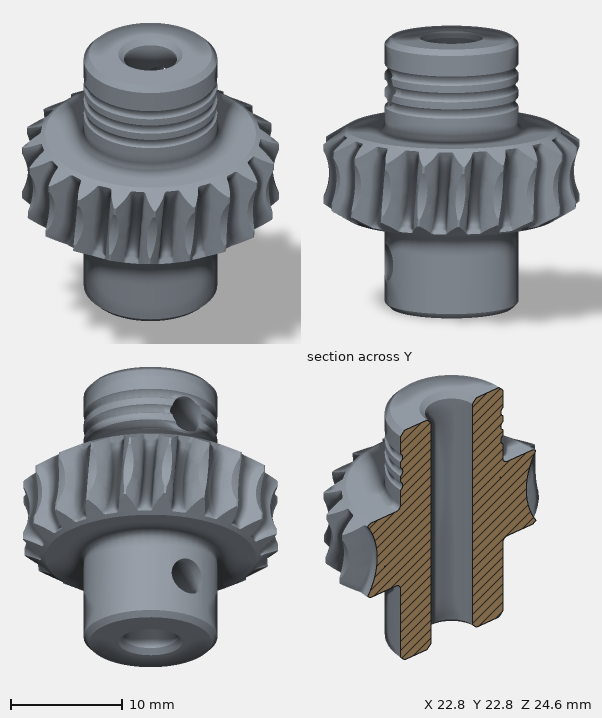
import cadquery as cq
import math

total_height = 24.6
mid_height = total_height / 2
hub_radius = 6.0
hub_chamfer = 0.5
hub_fillet = 0.5
bore_radius = 2.39
bore_chamfer = 0.5

groove_count = 3
groove_pitch = 1.5
middle_groove_height = 20.3
groove_round_radius = 0.5
groove_depth = 0.25
groove_half_width = math.sqrt(groove_round_radius**2 - (groove_round_radius - groove_depth) ** 2)

side_hole_radius = 1.67
side_hole_offset = 8.0

tooth_count = 20
pitch_radius = 9.99
addendum = 1.0
dedendum = 1.25
pressure_angle = math.radians(20)
lead_angle = math.radians(4.6)
tooth_thickening_angle = 0.008
base_radius = pitch_radius * math.cos(pressure_angle)
root_radius = pitch_radius - dedendum
throat_radius = pitch_radius + addendum
root_fillet = 0.25

wheel_width = 8.0
wheel_bottom = mid_height - wheel_width / 2
wheel_top = mid_height + wheel_width / 2
wheel_face_radius = 9.47
wheel_radius = 11.51
rim_half_width = 2.75
worm_axis_radius = 15.55
throat_round_radius = worm_axis_radius - throat_radius
floor_round_radius = worm_axis_radius - root_radius
throat_half_width = math.sqrt(throat_round_radius**2 - (worm_axis_radius - wheel_radius) ** 2)

cutter_overrun = 0.75
outer_overrun = 0.05
cutter_inner_radius = root_radius - cutter_overrun
cutter_outer_radius = wheel_radius + outer_overrun
cutter_height = wheel_width + 2 * cutter_overrun
flank_points = 4


def make_turned_body():
    """Hub, bore, grooves and toothless wheel, revolved from one half section."""
    bore_mouth_radius = bore_radius + bore_chamfer
    chamfer_radius = hub_radius - hub_chamfer
    fillet_radius = hub_radius + hub_fillet

    profile = (
        cq.Workplane("XZ")
        .moveTo(bore_radius, bore_chamfer)
        .lineTo(bore_mouth_radius, 0)
        .lineTo(chamfer_radius, 0)
        .lineTo(hub_radius, hub_chamfer)
        .lineTo(hub_radius, wheel_bottom - hub_fillet)
        .tangentArcPoint((fillet_radius, wheel_bottom), relative=False)
        .lineTo(wheel_face_radius, wheel_bottom)
        .lineTo(wheel_radius, mid_height - rim_half_width)
        .lineTo(wheel_radius, mid_height - throat_half_width)
        .threePointArc((throat_radius, mid_height), (wheel_radius, mid_height + throat_half_width))
        .lineTo(wheel_radius, mid_height + rim_half_width)
        .lineTo(wheel_face_radius, wheel_top)
        .lineTo(fillet_radius, wheel_top)
        .tangentArcPoint((hub_radius, wheel_top + hub_fillet), relative=False)
    )
    for index in range(groove_count):
        height = middle_groove_height + (index - (groove_count - 1) / 2) * groove_pitch
        profile = profile.lineTo(hub_radius, height - groove_half_width).threePointArc(
            (hub_radius - groove_depth, height), (hub_radius, height + groove_half_width)
        )
    profile = (
        profile.lineTo(hub_radius, total_height - hub_chamfer)
        .lineTo(chamfer_radius, total_height)
        .lineTo(bore_mouth_radius, total_height)
        .lineTo(bore_radius, total_height - bore_chamfer)
        .close()
    )
    return profile.revolve(360, (0, 0, 0), (0, 1, 0))


def involute(angle):
    return math.tan(angle) - angle


def flank_point(radius, side):
    """Point on one involute flank of the gap that is centred on +X."""
    roll = math.acos(base_radius / radius)
    gap_half_angle = math.pi / (2 * tooth_count) - tooth_thickening_angle
    angle = side * (gap_half_angle + involute(roll) - involute(pressure_angle))
    return radius * math.cos(angle), radius * math.sin(angle)


def make_gap_outline():
    """Cross-section of one gap: two involute flanks, running on inward below the base circle."""
    step = (cutter_outer_radius - base_radius) / (flank_points - 1)
    radii = [base_radius + step * index for index in range(flank_points)]
    lower = [flank_point(radius, -1) for radius in radii]
    upper = [flank_point(radius, 1) for radius in reversed(radii)]
    inner_scale = cutter_inner_radius / base_radius
    inner_lower = tuple(inner_scale * value for value in lower[0])
    inner_upper = tuple(inner_scale * value for value in upper[-1])
    return (
        cq.Workplane("XY")
        .moveTo(*inner_lower)
        .spline(lower, includeCurrent=True)
        .threePointArc((cutter_outer_radius, 0), upper[0])
        .spline(upper[1:] + [inner_upper], includeCurrent=True)
        .close()
        .val()
    )


def make_gap_cutter():
    """Helical gap on +X whose floor follows the outside of the mating worm."""
    outline = make_gap_outline()
    twist = math.degrees(cutter_height * math.tan(lead_angle) / pitch_radius)
    sections = [
        outline.rotate(cq.Vector(0, 0, 0), cq.Vector(0, 0, 1), position * twist).translate(
            cq.Vector(0, 0, mid_height + position * cutter_height)
        )
        for position in (-0.5, 0, 0.5)
    ]
    helical_gap = cq.Workplane(cq.Solid.makeLoft(sections))
    worm_ring = (
        cq.Workplane("XZ", origin=(0, 0, mid_height))
        .center(worm_axis_radius, 0)
        .circle(floor_round_radius)
        .revolve(360, (-worm_axis_radius, 0, 0), (-worm_axis_radius, 1, 0))
    )
    cutter = helical_gap.intersect(worm_ring)

    floor_edges = cutter.faces("%TORUS").edges().vals()
    corner_edges = [edge for edge in floor_edges if edge.Length() > wheel_width]
    return cutter.val().fillet(root_fillet, corner_edges)


def cut_teeth(body):
    cutter = make_gap_cutter()
    gaps = [
        cutter.rotate((0, 0, 0), (0, 0, 1), 360 / tooth_count * index)
        for index in range(tooth_count)
    ]
    return body.cut(cq.Workplane(cq.Compound.makeCompound(gaps)))


def make_side_hole(height):
    """Cylinder along +Y from the bore axis out past the hub."""
    return cq.Workplane("XZ", origin=(0, 0, height)).circle(side_hole_radius).extrude(-2 * hub_radius)


result = make_turned_body()
for direction in (-1, 1):
    result = result.cut(make_side_hole(mid_height + direction * side_hole_offset))
result = cut_teeth(result)